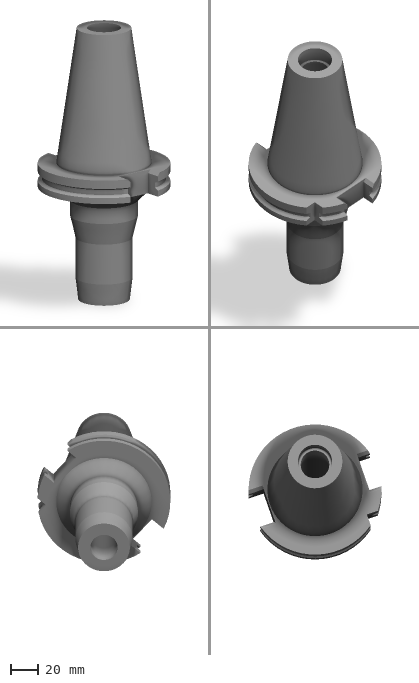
import cadquery as cq


gauge_radius = 69.85 / 2
taper_ratio = 7 / 24
taper_length = 101.75
taper_end_radius = gauge_radius - taper_ratio * taper_length / 2

flange_radius = 97.5 / 2
flange_top_z = -1.2
flange_bottom_z = -19.1

groove_center_z = -11.1
groove_floor_radius = 45.65
groove_mouth_half_width = 3.5
groove_floor_half_width = 1.9

slot_width = 25.7
slot_floor_left = 37.7
slot_floor_right = 35.5
slot_chamfer_width = 2.4
slot_chamfer_depth = 2.4

notch_offset = 30.0

collar_radius = 25.0
collar_cone_top_radius = 35.0
collar_cone_height = collar_cone_top_radius - collar_radius
collar_top_z = flange_bottom_z - collar_cone_height
collar_bottom_z = -41.0
neck_radius = 21.0
neck_top_z = -57.8
neck_bottom_z = -88.3
nose_end_radius = 19.0
nose_end_z = -105.0

pilot_bore_radius = 12.5
pilot_bore_depth = 11.5
clearance_bore_radius = 10.5
tool_bore_radius = 10.0
tool_bore_length = 52.0


def holder_body():
    """Taper, flange blank and nose as one revolved profile."""
    outline = [
        (0, taper_length),
        (taper_end_radius, taper_length),
        (gauge_radius, 0),
        (gauge_radius, flange_top_z),
        (flange_radius, flange_top_z),
        (flange_radius, groove_center_z + groove_mouth_half_width),
        (groove_floor_radius, groove_center_z + groove_floor_half_width),
        (groove_floor_radius, groove_center_z - groove_floor_half_width),
        (flange_radius, groove_center_z - groove_mouth_half_width),
        (flange_radius, flange_bottom_z),
        (collar_cone_top_radius, flange_bottom_z),
        (collar_radius, collar_top_z),
        (collar_radius, collar_bottom_z),
        (neck_radius, neck_top_z),
        (neck_radius, neck_bottom_z),
        (nose_end_radius, nose_end_z),
        (0, nose_end_z),
    ]
    return cq.Workplane("YZ").polyline(outline).close().revolve(360, (0, 0), (0, 1))


def drive_slot(side, floor_distance):
    """Cutter for one drive slot, open outward on the given X side (-1 or +1)."""
    half_width = slot_width / 2
    half_mouth = half_width + slot_chamfer_width
    chamfer_bottom_z = flange_top_z - slot_chamfer_depth
    section = [
        (-half_width, flange_bottom_z),
        (half_width, flange_bottom_z),
        (half_width, chamfer_bottom_z),
        (half_mouth, flange_top_z),
        (-half_mouth, flange_top_z),
        (-half_width, chamfer_bottom_z),
    ]
    cut_length = side * (flange_radius - floor_distance)
    return (
        cq.Workplane("YZ", origin=(side * floor_distance, 0, 0))
        .polyline(section)
        .close()
        .extrude(cut_length)
    )


def orientation_notch():
    """Square-cornered cutter through the full flange thickness."""
    size = flange_radius - notch_offset
    height = flange_top_z - flange_bottom_z
    return (
        cq.Workplane("XY")
        .box(size, size, height, centered=False)
        .translate((-flange_radius, notch_offset, flange_bottom_z))
    )


def bore_section(radius, bottom_z, top_z):
    """Cylindrical cutter on the Z axis between two heights."""
    return (
        cq.Workplane("XY", origin=(0, 0, bottom_z))
        .circle(radius)
        .extrude(top_z - bottom_z)
    )


def axial_bore():
    """Stepped bore along the whole axis, narrowing from the taper end to the nose."""
    pilot_floor_z = taper_length - pilot_bore_depth
    tool_bore_top_z = nose_end_z + tool_bore_length
    pilot = bore_section(pilot_bore_radius, pilot_floor_z, taper_length)
    clearance = bore_section(clearance_bore_radius, tool_bore_top_z, pilot_floor_z)
    tool_bore = bore_section(tool_bore_radius, nose_end_z, tool_bore_top_z)
    return pilot.union(clearance).union(tool_bore)


result = (
    holder_body()
    .cut(drive_slot(-1, slot_floor_left))
    .cut(drive_slot(1, slot_floor_right))
    .cut(orientation_notch())
    .cut(axial_bore())
)